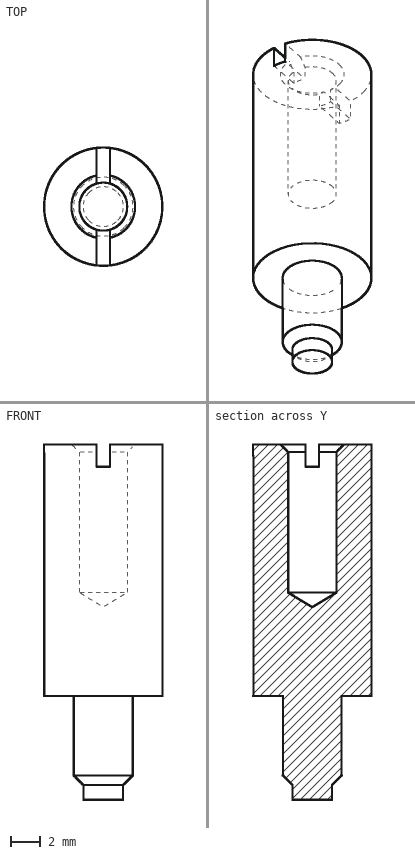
import cadquery as cq
import math

BODY_DIAMETER = 8.0
BODY_LENGTH = 17.0
STUD_DIAMETER = 4.0
STUD_LENGTH = 7.0

TIP_DIAMETER = 2.7
TIP_LENGTH = 1.0
TIP_CONE_HEIGHT = 0.65

HOLE_DIAMETER = 3.242
HOLE_DEPTH = 10.0
DRILL_POINT_ANGLE = 118.0
COUNTERSINK_DIAMETER = 4.3
COUNTERSINK_ANGLE = 90.0

SLOT_WIDTH = 0.9
SLOT_DEPTH = 1.5


def cone_height(radial_step, included_angle):
    """Height of a cone that changes radius by radial_step."""
    return radial_step / math.tan(math.radians(included_angle / 2))


def turn(profile):
    """Revolve a closed (radius, height) profile fully around the Z axis."""
    return cq.Workplane("XZ").polyline(profile).close().revolve(360, (0, 0), (0, 1))


def make_body():
    """Body, stud and tip turned as one profile; Z = 0 is the body shoulder."""
    body_radius = BODY_DIAMETER / 2
    stud_radius = STUD_DIAMETER / 2
    tip_radius = TIP_DIAMETER / 2
    tip_top = -STUD_LENGTH + TIP_LENGTH
    profile = [
        (0, -STUD_LENGTH),
        (tip_radius, -STUD_LENGTH),
        (tip_radius, tip_top),
        (stud_radius, tip_top + TIP_CONE_HEIGHT),
        (stud_radius, 0),
        (body_radius, 0),
        (body_radius, BODY_LENGTH),
        (0, BODY_LENGTH),
    ]
    return turn(profile)


def make_hole():
    """Countersunk blind hole with a conical end, opening at the body top."""
    hole_radius = HOLE_DIAMETER / 2
    mouth_radius = COUNTERSINK_DIAMETER / 2
    countersink_depth = cone_height(mouth_radius - hole_radius, COUNTERSINK_ANGLE)
    hole_floor = BODY_LENGTH - HOLE_DEPTH
    profile = [
        (0, hole_floor - cone_height(hole_radius, DRILL_POINT_ANGLE)),
        (hole_radius, hole_floor),
        (hole_radius, BODY_LENGTH - countersink_depth),
        (mouth_radius, BODY_LENGTH),
        (0, BODY_LENGTH),
    ]
    return turn(profile)


def make_slot():
    """Slot cutter spanning the full body diameter."""
    return (
        cq.Workplane("XY")
        .workplane(offset=BODY_LENGTH - SLOT_DEPTH)
        .rect(SLOT_WIDTH, BODY_DIAMETER)
        .extrude(SLOT_DEPTH)
    )


result = make_body().cut(make_hole()).cut(make_slot())